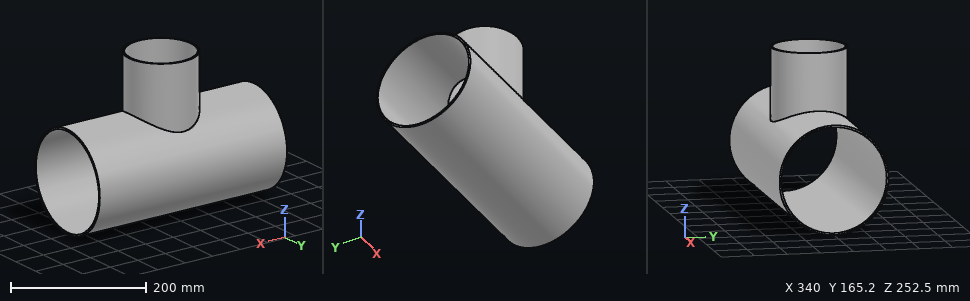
import cadquery as cq

run_length = 340.0
run_outer_diameter = 165.2
run_inner_diameter = 159.0

branch_outer_diameter = 114.2
branch_inner_diameter = 108.5
overall_height = 252.5
branch_top = overall_height - run_outer_diameter / 2


def run_cylinder(diameter):
    """Full-length cylinder on the axis of the main pipe."""
    return cq.Workplane("YZ").circle(diameter / 2).extrude(run_length / 2, both=True)


def branch_cylinder(diameter):
    """Cylinder from the main pipe axis up to the open end of the branch."""
    return cq.Workplane("XY").circle(diameter / 2).extrude(branch_top)


outer_body = run_cylinder(run_outer_diameter).union(branch_cylinder(branch_outer_diameter))
result = outer_body.cut(run_cylinder(run_inner_diameter)).cut(branch_cylinder(branch_inner_diameter))